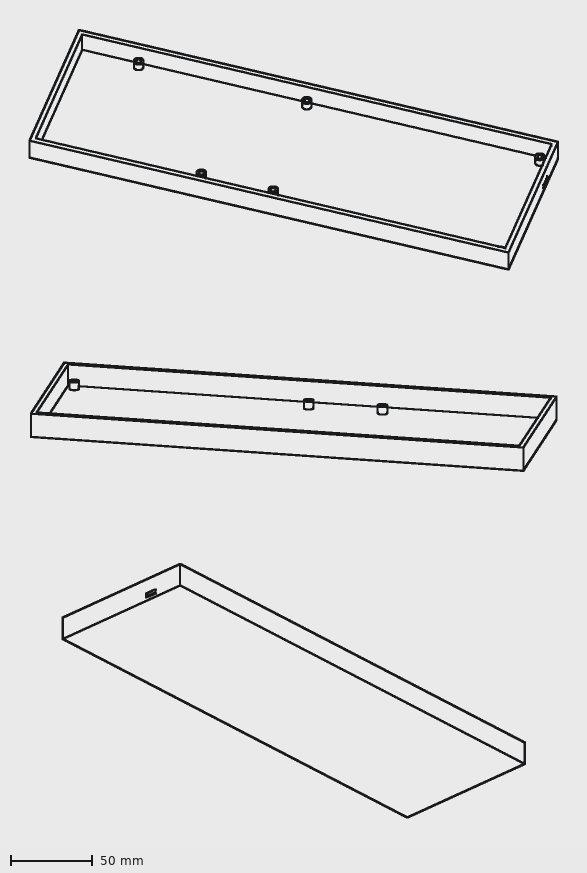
import cadquery as cq

length = 307.2
width = 98.3
height = 15.0
wall = 3.0
floor_thickness = 1.5

standoff_diameter = 5.8
standoff_bore = 3.0
standoff_height = 5.0
standoff_centers = [
    (-113.5, 43.0),
    (-5.5, 43.0),
    (144.5, 41.5),
    (-48.0, -35.0),
    (-1.8, -35.0),
    (145.5, -41.0),
]

opening_width = 7.7
opening_height = 2.8
opening_center_y = 24.5
opening_bottom = 2.5


def make_tray():
    """Open-topped rectangular tray with a small opening in one end wall."""
    body = cq.Workplane("XY").box(length, width, height, centered=(True, True, False))
    cavity = (
        cq.Workplane("XY", origin=(0, 0, floor_thickness))
        .rect(length - 2 * wall, width - 2 * wall)
        .extrude(height - floor_thickness)
    )
    opening = (
        cq.Workplane("XY", origin=(length / 2 - wall / 2, opening_center_y, opening_bottom))
        .rect(wall, opening_width)
        .extrude(opening_height)
    )
    return body.cut(cavity).cut(opening)


def make_standoff(center):
    """Plain tube standing on the tray floor."""
    x, y = center
    return (
        cq.Workplane("XY", origin=(x, y, floor_thickness))
        .circle(standoff_diameter / 2)
        .circle(standoff_bore / 2)
        .extrude(standoff_height)
    )


tray = make_tray()
standoffs = [make_standoff(center) for center in standoff_centers]

result = cq.Compound.makeCompound([tray.val(), *[standoff.val() for standoff in standoffs]])